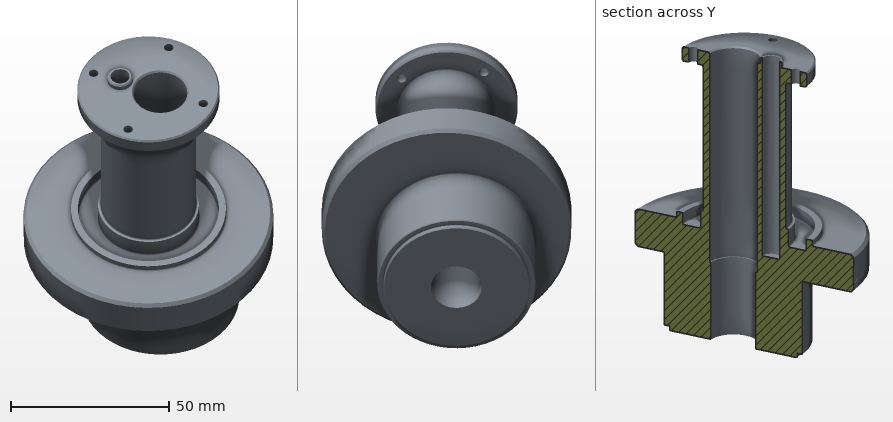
import cadquery as cq
import math

spigot_top = 1.5
body_top = 26.5
flange_top = 39.5
ring_top = 41.5
collar_top = 43.5
head_bottom = 93.5
head_top = 98.5
pin_top = 100.5

spigot_radius = 23.1
body_radius = 25.0
flange_radius = 39.5
ring_outer_radius = 24.5
ring_inner_radius = 22.3
collar_radius = 16.0
tube_radius = 15.1
head_radius = 22.5

recess_depth = 4.0
recess_floor = ring_top - recess_depth

root_fillet = 0.5
head_chamfer = 0.5
flange_chamfer = 1.0
body_chamfer = 0.3

bore_offset = 4.0
bore_radius = 8.5
bore_chamfer = 0.5
throat_radius = 8.0
throat_top = body_top

pin_offset = -9.5
pin_radius = 4.0
pin_chamfer = 0.5
passage_radius = 3.0

screw_circle_radius = 18.5
screw_hole_radius = 1.5
screw_count = 4

seat_radius = 3.0
seat_height = 32.6
seat_depth = flange_radius - math.sqrt(flange_radius**2 - seat_radius**2)


def cylinder(radius, bottom, top, x=0.0, y=0.0):
    """Upright cylinder between two heights."""
    return cq.Workplane("XY", origin=(x, y, bottom)).circle(radius).extrude(top - bottom)


def revolve_upright(profile):
    """Close a half profile and turn it about the vertical axis of its own workplane."""
    return profile.close().revolve(360, (0, 0, 0), (0, 1, 0))


def make_upper_turning():
    """Flange, raised ring, recess, collar, tube and head, all about the main axis."""
    profile = (
        cq.Workplane("XZ")
        .moveTo(0, body_top)
        .lineTo(flange_radius - flange_chamfer, body_top)
        .lineTo(flange_radius, body_top + flange_chamfer)
        .lineTo(flange_radius, flange_top - flange_chamfer)
        .lineTo(flange_radius - flange_chamfer, flange_top)
        .lineTo(ring_outer_radius + root_fillet, flange_top)
        .radiusArc((ring_outer_radius, flange_top + root_fillet), root_fillet)
        .lineTo(ring_outer_radius, ring_top)
        .lineTo(ring_inner_radius, ring_top)
        .lineTo(ring_inner_radius, recess_floor + root_fillet)
        .radiusArc((ring_inner_radius - root_fillet, recess_floor), root_fillet)
        .lineTo(collar_radius + root_fillet, recess_floor)
        .radiusArc((collar_radius, recess_floor + root_fillet), root_fillet)
        .lineTo(collar_radius, collar_top)
        .lineTo(tube_radius + root_fillet, collar_top)
        .radiusArc((tube_radius, collar_top + root_fillet), root_fillet)
        .lineTo(tube_radius, head_bottom - root_fillet)
        .radiusArc((tube_radius + root_fillet, head_bottom), root_fillet)
        .lineTo(head_radius - head_chamfer, head_bottom)
        .lineTo(head_radius, head_bottom + head_chamfer)
        .lineTo(head_radius, head_top - head_chamfer)
        .lineTo(head_radius - head_chamfer, head_top)
        .lineTo(0, head_top)
    )
    return revolve_upright(profile)


def make_lower_turning():
    """Spigot and body below the flange, about the offset axis."""
    profile = (
        cq.Workplane("XZ", origin=(bore_offset, 0, 0))
        .lineTo(spigot_radius - body_chamfer, 0)
        .lineTo(spigot_radius, body_chamfer)
        .lineTo(spigot_radius, spigot_top)
        .lineTo(body_radius - body_chamfer, spigot_top)
        .lineTo(body_radius, spigot_top + body_chamfer)
        .lineTo(body_radius, body_top - root_fillet)
        .radiusArc((body_radius + root_fillet, body_top), root_fillet)
        .lineTo(0, body_top)
    )
    return revolve_upright(profile)


def make_pin():
    """Short pin standing on the head."""
    return cylinder(pin_radius, head_top, pin_top, pin_offset).faces(">Z").chamfer(pin_chamfer)


def make_bore():
    """Through bore with a chamfered mouth, narrowing to the throat inside the lower body."""
    profile = (
        cq.Workplane("XZ", origin=(bore_offset, 0, 0))
        .lineTo(throat_radius, 0)
        .lineTo(throat_radius, throat_top)
        .lineTo(bore_radius, throat_top)
        .lineTo(bore_radius, head_top - bore_chamfer)
        .lineTo(bore_radius + bore_chamfer, head_top)
        .lineTo(0, head_top)
    )
    return revolve_upright(profile)


def make_screw_hole(index):
    """One of the evenly spaced holes through the head."""
    angle = 2 * math.pi * index / screw_count
    x = screw_circle_radius * math.cos(angle)
    y = screw_circle_radius * math.sin(angle)
    return cylinder(screw_hole_radius, head_bottom, head_top, x, y)


def make_seat():
    """Cutter for the flat round seat in the rim of the flange."""
    rim = cq.Workplane("YZ", origin=(-flange_radius, 0, seat_height))
    return rim.circle(seat_radius).extrude(seat_depth)


result = make_upper_turning().union(make_lower_turning()).union(make_pin())
result = result.cut(make_bore())

result = result.cut(cylinder(passage_radius, seat_height, pin_top, pin_offset))

for screw_index in range(screw_count):
    result = result.cut(make_screw_hole(screw_index))

result = result.cut(make_seat())